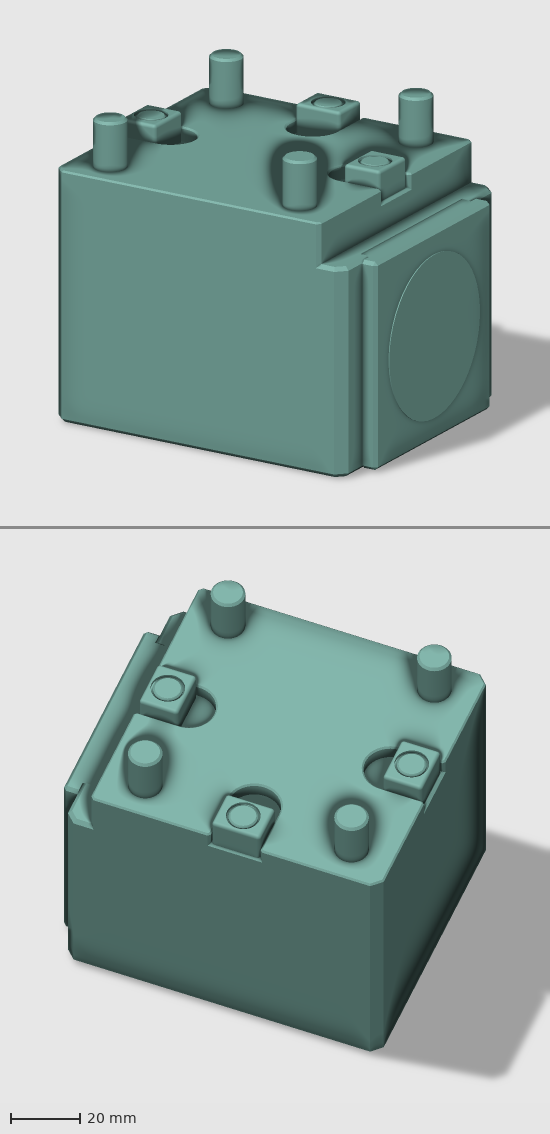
import cadquery as cq

overall_length = 103.0
body_width = 85.0
overall_height = 92.5
mid_y = body_width / 2

body_length = 98.1
body_bottom = 0.4
body_top = 77.5
step_wall_x = 90.0
ledge_z = 64.7
corner_chamfer = 3.0
bottom_chamfer = 1.2
step_chamfer = 1.1
rim_chamfer = 0.5

plate_inset = 0.3
plate_bottom = body_bottom + plate_inset
plate_top = ledge_z - plate_inset
plate_width = 63.7
plate_chamfer = 1.0
tongue_width = 56.1
tongue_depth = 3.0
disc_diameter = 50.0
disc_thickness = 0.3
plate_outer_x = overall_length - disc_thickness

pin_diameter = 10.0
pin_chamfer = 0.7
pin_pitch = 64.1
top_center_x = step_wall_x / 2

slot_width = 15.5
slot_depth = 4.3
slot_floor = body_top - slot_depth
slot_mouth_chamfer = 0.7
side_slot_length = 21.5
back_slot_length = 22.8
block_length = 12.0
block_width = 15.0
block_rise = 5.0
block_fillet = 1.0
side_block_inset = 1.1
back_block_inset = 0.5
screw_hole_diameter = 10.0
screw_hole_depth = 1.0
screw_diameter = 8.5
screw_chamfer = 0.5

button_diameter = 6.0
button_x = 46.8
button_y = 60.3


def box(x_range, y_range, z_range):
    """Axis-aligned box given by its limits."""
    sizes = [high - low for low, high in (x_range, y_range, z_range)]
    corner = (x_range[0], y_range[0], z_range[0])
    return cq.Workplane("XY").box(*sizes, centered=False).translate(corner)


def centered_on_mid_y(width):
    return (mid_y - width / 2, mid_y + width / 2)


def place_at_wall(shape, wall_x, wall_y, turn):
    """Move a shape built inward along +X from the origin to a wall point, turned about Z."""
    return shape.rotate((0, 0, 0), (0, 0, 1), turn).translate((wall_x, wall_y, 0))


def make_slot(length):
    """Slot cutter: flared where it opens through the wall, round at its inner end."""
    radius = slot_width / 2
    straight = length - radius
    slot = (
        cq.Workplane("XY", origin=(0, 0, slot_floor))
        .moveTo(0, -radius)
        .lineTo(straight, -radius)
        .threePointArc((length, 0), (straight, radius))
        .lineTo(0, radius)
        .close()
        .extrude(slot_depth)
    )
    mouth_height = 2 * (slot_depth + slot_mouth_chamfer)
    mouth = (
        cq.Workplane("YZ", origin=(0, 0, body_top))
        .rect(slot_width + 2 * slot_mouth_chamfer, mouth_height)
        .extrude(slot_mouth_chamfer, taper=45)
    )
    return slot.union(mouth)


def make_block(inset):
    """Rounded block standing on a slot floor, with a chamfered screw end flush in its top."""
    top = body_top + block_rise
    block = box(
        (inset, inset + block_length), (-block_width / 2, block_width / 2), (slot_floor, top)
    )
    block = block.edges("|Z or >Z").fillet(block_fillet)
    screw_x = inset + block_length / 2
    seat = cq.Workplane("XY", origin=(screw_x, 0, top - screw_hole_depth))
    hole = seat.circle(screw_hole_diameter / 2).extrude(screw_hole_depth)
    screw = seat.circle(screw_diameter / 2).extrude(screw_hole_depth)
    tip = screw.faces(">Z").chamfer(screw_chamfer)
    return block.cut(hole).union(tip)


def make_body(slots):
    """Stepped block with chamfered corners, step edges, underside and slotted top rim."""
    profile = [
        (0, body_bottom),
        (body_length, body_bottom),
        (body_length, ledge_z),
        (step_wall_x, ledge_z),
        (step_wall_x, body_top),
        (0, body_top),
    ]
    body = cq.Workplane("XZ").polyline(profile).close().extrude(-body_width)
    body = body.edges("|Z and (<X or >X)").chamfer(corner_chamfer)
    margin = 0.1
    ledge_edges = cq.selectors.BoxSelector(
        (step_wall_x + margin, -margin, ledge_z - margin),
        (body_length + margin, body_width + margin, ledge_z + margin),
    )
    wall_edges = cq.selectors.BoxSelector(
        (step_wall_x - margin, -margin, ledge_z + margin),
        (step_wall_x + margin, body_width + margin, body_top - margin),
    )
    body = body.edges(ledge_edges + wall_edges).chamfer(step_chamfer)
    body = body.faces("<Z").edges().chamfer(bottom_chamfer)
    for slot in slots:
        body = body.cut(slot)
    return body.faces(">Z").edges().chamfer(rim_chamfer)


def make_plate():
    """Cover plate with its outer edges chamfered, its tongue, and the disc on its face."""
    z_range = (plate_bottom, plate_top)
    plate = box((body_length, plate_outer_x), centered_on_mid_y(plate_width), z_range)
    plate = plate.edges("|X or >X").chamfer(plate_chamfer)
    tongue = box((body_length - tongue_depth, body_length), centered_on_mid_y(tongue_width), z_range)
    disc = (
        cq.Workplane("YZ", origin=(plate_outer_x, mid_y, (plate_bottom + plate_top) / 2))
        .circle(disc_diameter / 2)
        .extrude(disc_thickness)
    )
    return plate.union(tongue).union(disc)


side_stations = [(0, mid_y, 0), (step_wall_x, mid_y, 180)]
back_station = (top_center_x, body_width, -90)

slots = [place_at_wall(make_slot(side_slot_length), *station) for station in side_stations]
slots.append(place_at_wall(make_slot(back_slot_length), *back_station))
blocks = [place_at_wall(make_block(side_block_inset), *station) for station in side_stations]
blocks.append(place_at_wall(make_block(back_block_inset), *back_station))

tongue_recess = box(
    (body_length - tongue_depth, body_length),
    centered_on_mid_y(tongue_width),
    (0, ledge_z),
)
result = make_body(slots).cut(tongue_recess).union(make_plate())
for block in blocks:
    result = result.union(block)

pins = (
    cq.Workplane("XY", origin=(top_center_x, mid_y, body_top))
    .rect(pin_pitch, pin_pitch, forConstruction=True)
    .vertices()
    .circle(pin_diameter / 2)
    .extrude(overall_height - body_top)
    .faces(">Z")
    .chamfer(pin_chamfer)
)
button = (
    cq.Workplane("XY", origin=(button_x, button_y, 0)).circle(button_diameter / 2).extrude(body_bottom)
)
result = result.union(pins).union(button)